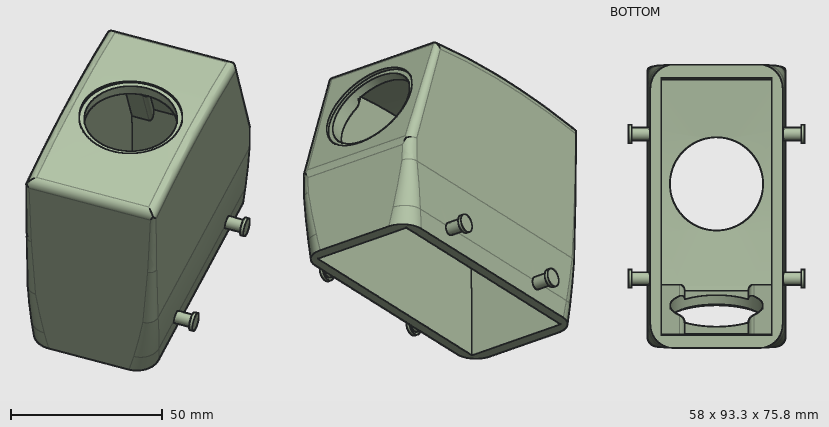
import cadquery as cq
import math

length = 93.3
half_length = length / 2
half_width = 22.8
apex_z = 75.8

front_top_y = -45.8
back_bend_y, bend_z = 46.2, 30.8
slope_top_y, shoulder_z = 30.9, 73.4
crown_y = -7.0
bend_radius = 10.3

draft_top_z = 6.7
wall_vertical_z = 23.3
side_draft = 0.07

rim_corner = 7.65
draft_corner = 6.4
front_waist_corner, back_waist_corner = 3.9, 3.5
front_chest_corner, chest_z = 2.3, 46.65
front_top_corner = 1.2
column_top_z = 76.7
slope_low_corner, slope_high_corner = 2.8, 1.9
crown_edge = 3.1
slope_top_edge = 1.9

wall = 4.2
cavity_half_width = 18.2
pad_inner_x = 10.45
pad_thickness = 1.9
pad_edge = 1.8

entry_radius = 15.3
seat_radius = 17.0
seat_depth = 1.0
slope_entry_y = 38.3
roof_entry_y = -7.4

peg_y, peg_z = 23.8, 6.2
peg_radius = 2.1
peg_head_radius = 3.1
peg_head_thickness = 1.2
peg_root_x, peg_tip_x = 19.1, 29.0

slope_rise = shoulder_z - bend_z
slope_run = back_bend_y - slope_top_y
slope_length = math.hypot(slope_rise, slope_run)
slope_normal = cq.Vector(0, slope_rise, slope_run).normalized()
slope_up = cq.Vector(0, -slope_run, slope_rise).normalized()


def lengthwise_profile(floor_z=0):
    """Outline of the hood in the YZ plane, closed off at floor_z."""
    return (
        cq.Workplane("YZ")
        .moveTo(-half_length, floor_z)
        .lineTo(front_top_y, shoulder_z)
        .threePointArc((crown_y, apex_z), (slope_top_y, shoulder_z))
        .lineTo(back_bend_y, bend_z)
        .lineTo(half_length, floor_z)
        .close()
    )


def rounded_section(plane, y_min, y_max, half_x, front_r, back_r):
    """Wire of a rectangle with separate corner radii at its two ends."""
    def corner(x_sign, y, y_sign, r):
        diag = r * (1 - math.cos(math.pi / 4))
        return (
            (x_sign * half_x, y - y_sign * r),
            (x_sign * (half_x - diag), y - y_sign * diag),
            (x_sign * (half_x - r), y),
        )

    fr_side, fr_mid, fr_end = corner(1, y_min, -1, front_r)
    br_side, br_mid, br_end = corner(1, y_max, 1, back_r)
    bl_side, bl_mid, bl_end = corner(-1, y_max, 1, back_r)
    fl_side, fl_mid, fl_end = corner(-1, y_min, -1, front_r)
    return (
        cq.Workplane(plane)
        .moveTo(*fr_side)
        .lineTo(*br_side)
        .threePointArc(br_mid, br_end)
        .lineTo(*bl_end)
        .threePointArc(bl_mid, bl_side)
        .lineTo(*fl_side)
        .threePointArc(fl_mid, fl_end)
        .lineTo(*fr_end)
        .threePointArc(fr_mid, fr_side)
        .close()
        .val()
    )


def side_half_width(z):
    """Half width of the hood at height z."""
    arc_height = wall_vertical_z - draft_top_z
    below = max(wall_vertical_z - z, 0)
    if below <= arc_height:
        return half_width - side_draft * below**2 / (2 * arc_height)
    return half_width - side_draft * (below - arc_height / 2)


def column_section(z, front_r, back_r):
    """Horizontal section of the upright block at height z."""
    front_lean = (front_top_y + half_length) / shoulder_z
    back_lean = (half_length - back_bend_y) / bend_z
    return rounded_section(
        cq.Plane(origin=(0, 0, z)),
        -half_length + front_lean * z,
        half_length - back_lean * z,
        side_half_width(z),
        front_r,
        back_r,
    )


def column():
    """Upright block whose vertical corners sharpen towards the top."""
    rim = column_section(0, rim_corner, rim_corner)
    draft_top = column_section(draft_top_z, draft_corner, draft_corner)
    flank = column_section(
        (draft_top_z + wall_vertical_z) / 2,
        (draft_corner + front_waist_corner) / 2,
        (draft_corner + back_waist_corner) / 2,
    )
    waist = column_section(wall_vertical_z, front_waist_corner, back_waist_corner)
    chest = column_section(chest_z, front_chest_corner, slope_low_corner)
    top = column_section(column_top_z, front_top_corner, slope_low_corner)
    lower = cq.Workplane(cq.Solid.makeLoft([rim, draft_top], True))
    middle = cq.Workplane(cq.Solid.makeLoft([draft_top, flank, waist], False))
    upper = cq.Workplane(cq.Solid.makeLoft([waist, chest, top], True))
    return lower.union(middle).union(upper)


def slope_block():
    """Block leaning with the sloped back face, its two long edges rounded."""
    overrun = half_length
    rate = (slope_high_corner - slope_low_corner) / slope_length
    wires = []
    for s in (-overrun, slope_length + overrun):
        origin = cq.Vector(0, back_bend_y, bend_z) + slope_up * s
        plane = cq.Plane(origin=origin, xDir=(1, 0, 0), normal=slope_up)
        r = slope_low_corner + rate * s
        wires.append(rounded_section(plane, -2 * length, 0, half_width, r, r))
    return cq.Workplane(cq.Solid.makeLoft(wires, True))


def edge_near(y, z):
    """Selector for the widthwise edge passing through (y, z)."""
    return cq.selectors.NearestToPointSelector((0, y, z))


def outer_body():
    """Solid hood before it is hollowed."""
    prism = lengthwise_profile().extrude(half_width, both=True)
    ends = (
        prism.edges(edge_near(front_top_y, shoulder_z)).fillet(crown_edge)
        .edges(edge_near(slope_top_y, shoulder_z)).fillet(slope_top_edge)
        .edges(edge_near(back_bend_y, bend_z)).fillet(bend_radius)
    )
    sides = prism.edges("%CIRCLE").fillet(crown_edge)
    return ends.intersect(sides).intersect(column()).intersect(slope_block())


def inner_pads():
    """Thicker bands along both sides of the sloped wall's inner face."""
    width = half_width - pad_inner_x
    slope_middle = cq.Vector(0, back_bend_y, bend_z) + slope_up * (slope_length / 2)
    plane = cq.Plane(origin=slope_middle - slope_normal * wall, xDir=(1, 0, 0), normal=-slope_normal)
    pad = (
        cq.Workplane(plane)
        .center(pad_inner_x + width / 2, 0)
        .rect(width, 2 * slope_length)
        .extrude(pad_thickness)
    )
    inner_edge = cq.selectors.NearestToPointSelector(
        plane.toWorldCoords((pad_inner_x, 0, pad_thickness)).toTuple()
    )
    pad = pad.edges(inner_edge).fillet(pad_edge)
    return pad.union(pad.mirror("YZ"))


def cavity():
    """Hollow one wall inside the lengthwise profile, running out through the underside."""
    block = (
        lengthwise_profile(floor_z=-2 * wall)
        .offset2D(-wall, "intersection")
        .extrude(cavity_half_width, both=True)
    )
    return block.cut(inner_pads())


def entry(centre, axis):
    """Round opening through the wall with a shallow seat around it."""
    seat = cq.Solid.makeCylinder(seat_radius, 2 * seat_depth, centre - axis * seat_depth, axis)
    start = centre - axis * (2 * wall)
    bore = cq.Solid.makeCylinder(entry_radius, 3 * wall, start, axis)
    return cq.Workplane(seat).union(cq.Workplane(bore))


def peg(side, y):
    """Headed locking peg standing out from one side wall."""
    plane = cq.Plane(origin=(side * peg_root_x, y, peg_z), xDir=(0, 1, 0), normal=(side, 0, 0))
    reach = peg_tip_x - peg_root_x
    shank = cq.Workplane(plane).circle(peg_radius).extrude(reach)
    head = (
        cq.Workplane(plane)
        .workplane(offset=reach - peg_head_thickness)
        .circle(peg_head_radius)
        .extrude(peg_head_thickness)
    )
    return shank.union(head)


slope_entry_z = bend_z + (back_bend_y - slope_entry_y) * slope_rise / slope_run

result = outer_body().cut(cavity())
result = result.cut(entry(cq.Vector(0, slope_entry_y, slope_entry_z), slope_normal))
result = result.cut(entry(cq.Vector(0, roof_entry_y, apex_z), cq.Vector(0, 0, 1)))
for side in (-1, 1):
    for y in (-peg_y, peg_y):
        result = result.union(peg(side, y))